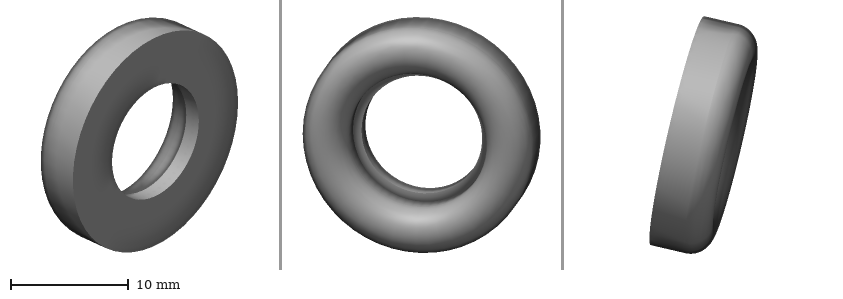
import cadquery as cq

outer_diameter = 20.0
bore_diameter = 12.0
lip_diameter = 10.5
width = 5.0
lip_start = 3.5

outer_radius = outer_diameter / 2
bore_radius = bore_diameter / 2
lip_radius = lip_diameter / 2
rim_radius = (outer_radius - bore_radius) / 2
rim_center_radius = (outer_radius + bore_radius) / 2

section = (
    cq.Workplane("XY")
    .moveTo(rim_radius, bore_radius)
    .threePointArc((0, rim_center_radius), (rim_radius, outer_radius))
    .lineTo(width, outer_radius)
    .lineTo(width, lip_radius)
    .lineTo(lip_start, lip_radius)
    .lineTo(lip_start, bore_radius)
    .close()
)

result = section.revolve(360, (0, 0, 0), (1, 0, 0))